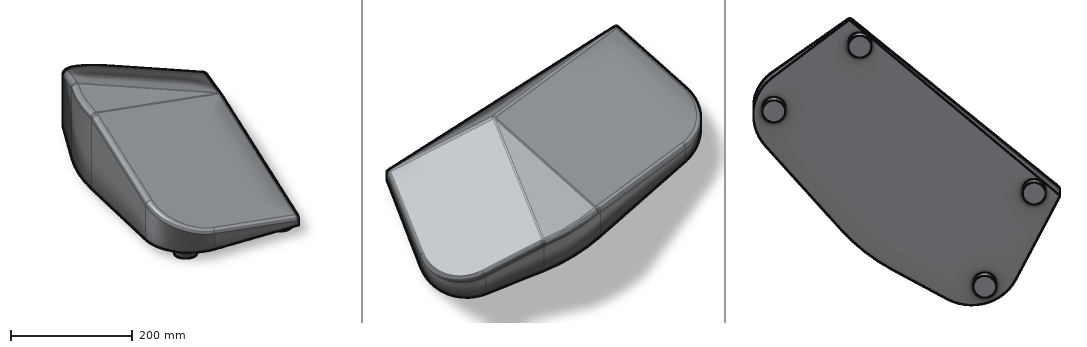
import cadquery as cq
import math

PEAK_HEIGHT = 110.95
MIDDLE_PITCH = 7.55
WING_DEPTH = 250.1

LEFT_WIDTH = 202.6
LEFT_SPLAY = 13.0
LEFT_DROP = 19.17

RIGHT_WIDTH = 294.5
RIGHT_SPLAY = 12.0
RIGHT_DROP = 18.94

CORNER_RADIUS = 82.2
FRONT_RADIUS = 320.0
EDGE_RADIUS = 9.23

FOOT_DIAMETER = 38.1
FOOT_HEIGHT = 19.05
FOOT_INSET = 39.5
FOOT_SETBACK = 20.1
FOOT_SPACING = 180.9

BLOCK_HEIGHT = 2 * PEAK_HEIGHT
OVERSIZE = 1000.0


def wing_directions(side, splay, drop):
    """Unit vectors along a wing's rear edge (outwards) and side (forwards); side is -1 or +1."""
    splay_angle = math.radians(splay)
    drop_angle = math.radians(drop)
    rise = math.tan(math.radians(MIDDLE_PITCH)) * math.cos(splay_angle)
    forward = cq.Vector(side * math.sin(splay_angle), -math.cos(splay_angle), rise).normalized()
    sweep = splay_angle - math.asin(math.tan(drop_angle) * rise)
    outward = cq.Vector(
        side * math.cos(drop_angle) * math.cos(sweep),
        math.cos(drop_angle) * math.sin(sweep),
        -math.sin(drop_angle),
    )
    return outward, forward


def plan_crossing(start_a, direction_a, start_b, direction_b):
    """Plan point where two lines meet."""
    gap = start_b - start_a
    turn = direction_a.x * direction_b.y - direction_a.y * direction_b.x
    along = (gap.x * direction_b.y - gap.y * direction_b.x) / turn
    return start_a + direction_a * along


def plan_point(point):
    return (point.x, point.y)


left_outward, left_forward = wing_directions(-1, LEFT_SPLAY, LEFT_DROP)
right_outward, right_forward = wing_directions(1, RIGHT_SPLAY, RIGHT_DROP)
peak = cq.Vector(0, 0, PEAK_HEIGHT)
left_rear = peak + left_outward * LEFT_WIDTH
right_rear = peak + right_outward * RIGHT_WIDTH
left_front = left_rear + left_forward * WING_DEPTH
right_front = right_rear + right_forward * WING_DEPTH
front_middle = plan_crossing(left_front, left_outward, right_front, right_outward)
rear_edge_middle = (left_rear + right_rear) / 2


def make_block():
    """Upright block over the body's plan outline, its front middle and outer front corners rounded."""
    outline = [plan_point(p) for p in (left_rear, left_front, front_middle, right_front, right_rear)]
    block = cq.Workplane("XY").polyline(outline).close().extrude(BLOCK_HEIGHT)
    for point, radius in (
        (left_front, CORNER_RADIUS),
        (right_front, CORNER_RADIUS),
        (front_middle, FRONT_RADIUS),
    ):
        edge = cq.selectors.NearestToPointSelector((point.x, point.y, BLOCK_HEIGHT / 2))
        block = block.edges("|Z").edges(edge).fillet(radius)
    return block


def space_above(first, second):
    """Block above the facet that spans two directions, taken anticlockwise, from the ridge peak."""
    plane = cq.Plane(origin=peak.toTuple(), xDir=first.toTuple(), normal=first.cross(second).toTuple())
    return cq.Workplane(plane).rect(OVERSIZE, OVERSIZE).extrude(OVERSIZE)


def make_body():
    """Solid under the middle facet, the two wings and the steep rear facet behind the ridges."""
    body = make_block()
    pitch = math.radians(MIDDLE_PITCH)
    middle_forward = cq.Vector(0, -math.cos(pitch), math.sin(pitch))
    body = body.cut(space_above(middle_forward, cq.Vector(1, 0, 0)))
    body = body.cut(space_above(left_outward, left_forward))
    body = body.cut(space_above(right_forward, right_outward))
    body = body.cut(space_above(right_outward, left_outward))
    rear_edge = cq.selectors.NearestToPointSelector(rear_edge_middle.toTuple())
    rounded = body.edges("not(|Z or <Z)").edges(cq.selectors.InverseSelector(rear_edge))
    return rounded.fillet(EDGE_RADIUS)


def make_feet():
    """Rear and front foot under each wing, in line with the wing's side."""
    centers = []
    for side, rear, splay in ((-1, left_rear, LEFT_SPLAY), (1, right_rear, RIGHT_SPLAY)):
        x = rear.x - side * FOOT_INSET
        y = rear.y - FOOT_SETBACK
        angle = math.radians(splay)
        centers.append((x, y))
        centers.append((x + side * FOOT_SPACING * math.sin(angle), y - FOOT_SPACING * math.cos(angle)))
    return cq.Workplane("XY").pushPoints(centers).circle(FOOT_DIAMETER / 2).extrude(-FOOT_HEIGHT)


result = make_body().union(make_feet())